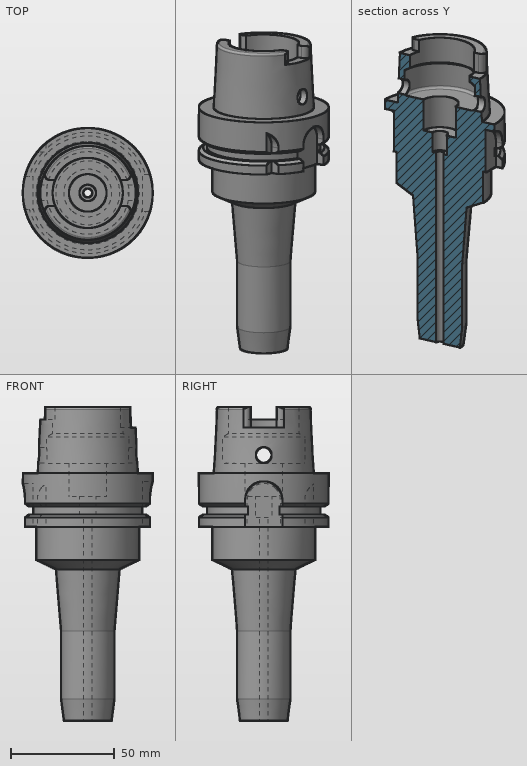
import cadquery as cq
import math


SHANK_LENGTH = 32.0
GAUGE_RADIUS = 24.0
GAUGE_HEIGHT = 6.3
RADIUS_PER_LENGTH = 1 / 20
RIM_ROUND = 1.2

FLANGE_RADIUS = 31.5
FLANGE_THICKNESS = 26.0
GROOVE_RADIUS = 27.6
GROOVE_CENTRE_Z = -18.13
GROOVE_FLOOR_WIDTH = 3.85
GROOVE_CHAMFER_HEIGHT = 1.5
GROOVE_LIP_RADIUS = 29.4

BODY_RADIUS = 25.0
BODY_END_Z = -42.0
NECK_RADIUS = 15.5
NECK_TOP_Z = -46.6
NOSE_RADIUS = 13.0
NOSE_TOP_Z = -76.5
TIP_TOP_Z = -109.3
TIP_RADIUS = 11.6
BOTTOM_Z = -120.0

CAVITY_MOUTH_RADIUS = 17.0
CAVITY_MOUTH_DEPTH = 12.8
CAVITY_RADIUS = 20.0
CAVITY_CONE_ANGLE = 30.0
CAVITY_FLOOR_Z = 4.6
CAVITY_FLOOR_ROUND = 1.3
TUBE_BORE_RADIUS = 9.1
TUBE_BORE_DEPTH = 16.0
COOLANT_STEP_RADIUS = 4.0
COOLANT_STEP_DEPTH = 10.0
COOLANT_RADIUS = 2.1

DRIVE_SLOT_WIDTH = 12.54
DRIVE_CORNER_RADIUS = 2.4
DRIVE_DEPTH_MINUS_X = 6.0
DRIVE_DEPTH_PLUS_X = 10.0

ACCESS_HOLE_DIAMETER = 7.5
ACCESS_HOLE_Z = 8.7

SLOT_ROUND_CENTRE_Z = -13.0
KEYWAY_FLOOR_X = 26.5
KEYWAY_WIDTH_MINUS_X = 16.0
KEYWAY_WIDTH_PLUS_X = 18.0

NOTCH_WIDTH = 18.0
NOTCH_EDGE_Y = 19.9
NOTCH_FLOOR_X = 20.2

CUT_MARGIN = 5.0


def shank_radius(z):
    return GAUGE_RADIUS + (GAUGE_HEIGHT - z) * RADIUS_PER_LENGTH


def turned_body():
    groove_top = GROOVE_CENTRE_Z + GROOVE_FLOOR_WIDTH / 2
    groove_bottom = GROOVE_CENTRE_Z - GROOVE_FLOOR_WIDTH / 2
    blank = (
        cq.Workplane("XZ")
        .polyline([
            (0, BOTTOM_Z),
            (TIP_RADIUS, BOTTOM_Z),
            (NOSE_RADIUS, TIP_TOP_Z),
            (NOSE_RADIUS, NOSE_TOP_Z),
            (NECK_RADIUS, NECK_TOP_Z),
            (BODY_RADIUS, BODY_END_Z),
            (BODY_RADIUS, -FLANGE_THICKNESS),
            (FLANGE_RADIUS, -FLANGE_THICKNESS),
            (FLANGE_RADIUS, groove_bottom - GROOVE_CHAMFER_HEIGHT),
            (GROOVE_LIP_RADIUS, groove_bottom),
            (GROOVE_RADIUS, groove_bottom),
            (GROOVE_RADIUS, groove_top),
            (GROOVE_LIP_RADIUS, groove_top),
            (FLANGE_RADIUS, groove_top + GROOVE_CHAMFER_HEIGHT),
            (FLANGE_RADIUS, 0),
            (shank_radius(0), 0),
            (shank_radius(SHANK_LENGTH), SHANK_LENGTH),
            (0, SHANK_LENGTH),
        ])
        .close()
        .revolve(360, (0, 0), (0, 1))
    )
    return blank.faces(">Z").edges().fillet(RIM_ROUND)


def cavity():
    cone_top = SHANK_LENGTH - CAVITY_MOUTH_DEPTH
    cone_height = (CAVITY_RADIUS - CAVITY_MOUTH_RADIUS) * math.tan(math.radians(CAVITY_CONE_ANGLE))
    tube_floor = CAVITY_FLOOR_Z - TUBE_BORE_DEPTH
    step_floor = tube_floor - COOLANT_STEP_DEPTH
    round_middle = CAVITY_FLOOR_ROUND * math.sqrt(0.5)
    round_centre_radius = CAVITY_RADIUS - CAVITY_FLOOR_ROUND
    round_centre_z = CAVITY_FLOOR_Z + CAVITY_FLOOR_ROUND
    return (
        cq.Workplane("XZ")
        .moveTo(0, SHANK_LENGTH)
        .lineTo(CAVITY_MOUTH_RADIUS, SHANK_LENGTH)
        .lineTo(CAVITY_MOUTH_RADIUS, cone_top)
        .lineTo(CAVITY_RADIUS, cone_top - cone_height)
        .lineTo(CAVITY_RADIUS, round_centre_z)
        .threePointArc(
            (round_centre_radius + round_middle, round_centre_z - round_middle),
            (round_centre_radius, CAVITY_FLOOR_Z),
        )
        .lineTo(TUBE_BORE_RADIUS, CAVITY_FLOOR_Z)
        .lineTo(TUBE_BORE_RADIUS, tube_floor)
        .lineTo(COOLANT_STEP_RADIUS, tube_floor)
        .lineTo(COOLANT_STEP_RADIUS, step_floor)
        .lineTo(COOLANT_RADIUS, step_floor)
        .lineTo(COOLANT_RADIUS, BOTTOM_Z)
        .lineTo(0, BOTTOM_Z)
        .close()
        .revolve(360, (0, 0), (0, 1))
    )


def drive_slot(side, depth):
    """Slot whose mouth flares out in arcs tangent to its walls and to the shank rim."""
    rim_radius = shank_radius(SHANK_LENGTH)
    half_width = DRIVE_SLOT_WIDTH / 2
    centre_y = half_width + DRIVE_CORNER_RADIUS
    centre_angle = math.asin(centre_y / (rim_radius - DRIVE_CORNER_RADIUS))
    centre_x = centre_y / math.tan(centre_angle)
    middle_angle = (centre_angle - math.pi / 2) / 2

    def corner_point(angle):
        x = centre_x + DRIVE_CORNER_RADIUS * math.cos(angle)
        y = centre_y + DRIVE_CORNER_RADIUS * math.sin(angle)
        return side * x, y

    def mirrored(point):
        return point[0], -point[1]

    middle = corner_point(middle_angle)
    mouth = corner_point(centre_angle)
    outside = (side * (rim_radius + CUT_MARGIN), mouth[1])
    wall_end = (side * centre_x, half_width)
    return (
        cq.Workplane("XY", origin=(0, 0, SHANK_LENGTH - depth))
        .moveTo(0, -half_width)
        .lineTo(*mirrored(wall_end))
        .threePointArc(mirrored(middle), mirrored(mouth))
        .lineTo(*mirrored(outside))
        .lineTo(*outside)
        .lineTo(*mouth)
        .threePointArc(middle, wall_end)
        .lineTo(0, half_width)
        .close()
        .extrude(depth)
    )


def access_hole():
    half_length = shank_radius(0) + CUT_MARGIN
    return (
        cq.Workplane("YZ", origin=(0, 0, ACCESS_HOLE_Z))
        .circle(ACCESS_HOLE_DIAMETER / 2)
        .extrude(half_length, both=True)
    )


def round_topped_slot(side, floor_x, centre_y, width):
    """Slot milled along X from outside the flange to floor_x, open at the flange underside."""
    radius = width / 2
    return (
        cq.Workplane("YZ", origin=(side * floor_x, 0, 0))
        .moveTo(centre_y - radius, -FLANGE_THICKNESS)
        .lineTo(centre_y - radius, SLOT_ROUND_CENTRE_Z)
        .threePointArc(
            (centre_y, SLOT_ROUND_CENTRE_Z + radius),
            (centre_y + radius, SLOT_ROUND_CENTRE_Z),
        )
        .lineTo(centre_y + radius, -FLANGE_THICKNESS)
        .close()
        .extrude(side * (FLANGE_RADIUS + CUT_MARGIN - floor_x))
    )


result = (
    turned_body()
    .cut(cavity())
    .cut(drive_slot(-1, DRIVE_DEPTH_MINUS_X))
    .cut(drive_slot(1, DRIVE_DEPTH_PLUS_X))
    .cut(access_hole())
    .cut(round_topped_slot(-1, KEYWAY_FLOOR_X, 0, KEYWAY_WIDTH_MINUS_X))
    .cut(round_topped_slot(1, KEYWAY_FLOOR_X, 0, KEYWAY_WIDTH_PLUS_X))
    .cut(round_topped_slot(-1, NOTCH_FLOOR_X, NOTCH_EDGE_Y + NOTCH_WIDTH / 2, NOTCH_WIDTH))
)